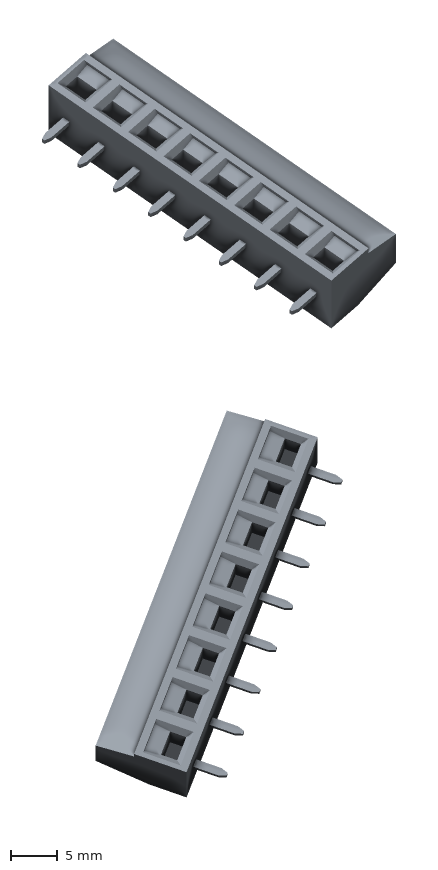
import cadquery as cq

TERMINALS = 8
PITCH = 5.08
LENGTH = TERMINALS * PITCH
DEPTH = 10.4
HEIGHT = 8.1
MID_HEIGHT = HEIGHT / 2
STEP_FROM_BACK = 4.4
STEP_DROP = 0.8
BACK_DROP = 1.6
BASE_SLOPE_RUN = 6.1
BASE_SLOPE_RISE = 1.6
DECK_DEPTH = DEPTH - STEP_FROM_BACK

RIM = 0.86
FUNNEL_WIDTH = 4.06
FUNNEL_LENGTH = DECK_DEPTH - 2 * RIM
FUNNEL_INSET = 0.63
FUNNEL_DEPTH = FUNNEL_INSET
RAMP_LENGTH = 1.8
RAMP_TOP_DEPTH = 0.44
WELL_WIDTH = FUNNEL_WIDTH - 2 * FUNNEL_INSET
WELL_LENGTH = FUNNEL_LENGTH - FUNNEL_INSET - RAMP_LENGTH
WELL_DEPTH = MID_HEIGHT

PIN_LENGTH = 3.7
PIN_WIDTH = 0.9
PIN_THICKNESS = 0.6
PIN_TIP_WIDTH = 0.35
PIN_TIP_LENGTH = 0.8
PIN_ROOT = 0.5


def make_housing():
    """Extrude the stepped side profile along the whole row."""
    profile = [
        (0, 0),
        (DEPTH - BASE_SLOPE_RUN, 0),
        (DEPTH, BASE_SLOPE_RISE),
        (DEPTH, HEIGHT - BACK_DROP),
        (DECK_DEPTH, HEIGHT - STEP_DROP),
        (DECK_DEPTH, HEIGHT),
        (0, HEIGHT),
    ]
    return cq.Workplane("YZ").polyline(profile).close().extrude(LENGTH / 2, both=True)


def make_entry(x):
    """Solid to remove from the deck: 45-degree trough, trimmed by the rear ramp, plus the well."""
    half_width = FUNNEL_WIDTH / 2
    half_well = WELL_WIDTH / 2
    front = RIM
    back = RIM + FUNNEL_LENGTH
    floor = HEIGHT - FUNNEL_DEPTH
    well_front = front + FUNNEL_INSET

    trough = (
        cq.Workplane("XZ", origin=(x, front, 0))
        .polyline([(-half_width, HEIGHT), (half_width, HEIGHT), (half_well, floor), (-half_well, floor)])
        .close()
        .extrude(-FUNNEL_LENGTH)
    )
    ramp_side = (
        cq.Workplane("YZ", origin=(x, 0, 0))
        .polyline([
            (front, HEIGHT),
            (well_front, floor),
            (back - RAMP_LENGTH, floor),
            (back, HEIGHT - RAMP_TOP_DEPTH),
            (back, HEIGHT),
        ])
        .close()
        .extrude(half_width, both=True)
    )
    well = cq.Workplane("XY").box(WELL_WIDTH, WELL_LENGTH, WELL_DEPTH, centered=(True, False, False))
    well = well.translate((x, well_front, HEIGHT - WELL_DEPTH))
    return trough.intersect(ramp_side).union(well)


def make_pin(x):
    """Blade pointing along -Y, tapered in width at its tip."""
    half_width = PIN_WIDTH / 2
    half_tip = PIN_TIP_WIDTH / 2
    taper_start = PIN_TIP_LENGTH - PIN_LENGTH
    outline = [
        (-half_width, PIN_ROOT),
        (-half_width, taper_start),
        (-half_tip, -PIN_LENGTH),
        (half_tip, -PIN_LENGTH),
        (half_width, taper_start),
        (half_width, PIN_ROOT),
    ]
    plane = cq.Workplane("XY", origin=(x, 0, MID_HEIGHT))
    return plane.polyline(outline).close().extrude(PIN_THICKNESS / 2, both=True)


result = make_housing()
for index in range(TERMINALS):
    terminal_x = (index + 0.5) * PITCH - LENGTH / 2
    result = result.cut(make_entry(terminal_x)).union(make_pin(terminal_x))